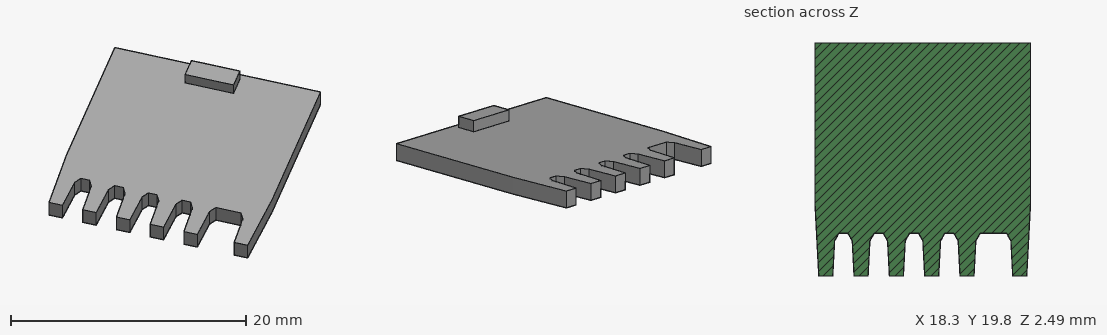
import cadquery as cq
import math

plate_width = 18.32
plate_length = 19.8
plate_thickness = 1.5
taper_length = 6.0
draft = math.tan(math.radians(3.0))

tooth_tip_width = 1.2
tooth_pitch = 3.0
narrow_slot_count = 4
slot_depth = 3.62
shoulder_depth = 2.99
shoulder_inset = 0.35

block_width = 4.32
block_length = 1.8
block_height = 0.99
block_rear_gap = 0.57

half_width = plate_width / 2
half_tip_width = half_width - taper_length * draft


def make_plate():
    """Rectangular plate whose sides taper in towards the front edge."""
    outline = [
        (-half_tip_width, 0),
        (half_tip_width, 0),
        (half_width, taper_length),
        (half_width, plate_length),
        (-half_width, plate_length),
        (-half_width, taper_length),
    ]
    return cq.Workplane("XY").polyline(outline).close().extrude(plate_thickness)


def make_slot(left, right):
    """Drafted slot with bevelled inner corners, open between left and right."""
    shoulder_shift = shoulder_depth * draft
    floor_shift = shoulder_shift + shoulder_inset
    outline = [
        (left, 0),
        (left + shoulder_shift, shoulder_depth),
        (left + floor_shift, slot_depth),
        (right - floor_shift, slot_depth),
        (right - shoulder_shift, shoulder_depth),
        (right, 0),
    ]
    return cq.Workplane("XY").polyline(outline).close().extrude(plate_thickness)


def make_block():
    """Plain block standing on the top face, centred across the width."""
    block_center_y = plate_length - block_rear_gap - block_length / 2
    return (
        cq.Workplane("XY")
        .workplane(offset=plate_thickness)
        .center(0, block_center_y)
        .rect(block_width, block_length)
        .extrude(block_height)
    )


result = make_plate()

first_slot_left = -half_tip_width + tooth_tip_width
for index in range(narrow_slot_count):
    slot_left = first_slot_left + index * tooth_pitch
    slot_right = slot_left + tooth_pitch - tooth_tip_width
    result = result.cut(make_slot(slot_left, slot_right))

wide_slot_left = first_slot_left + narrow_slot_count * tooth_pitch
wide_slot_right = half_tip_width - tooth_tip_width
result = result.cut(make_slot(wide_slot_left, wide_slot_right))

result = result.union(make_block())